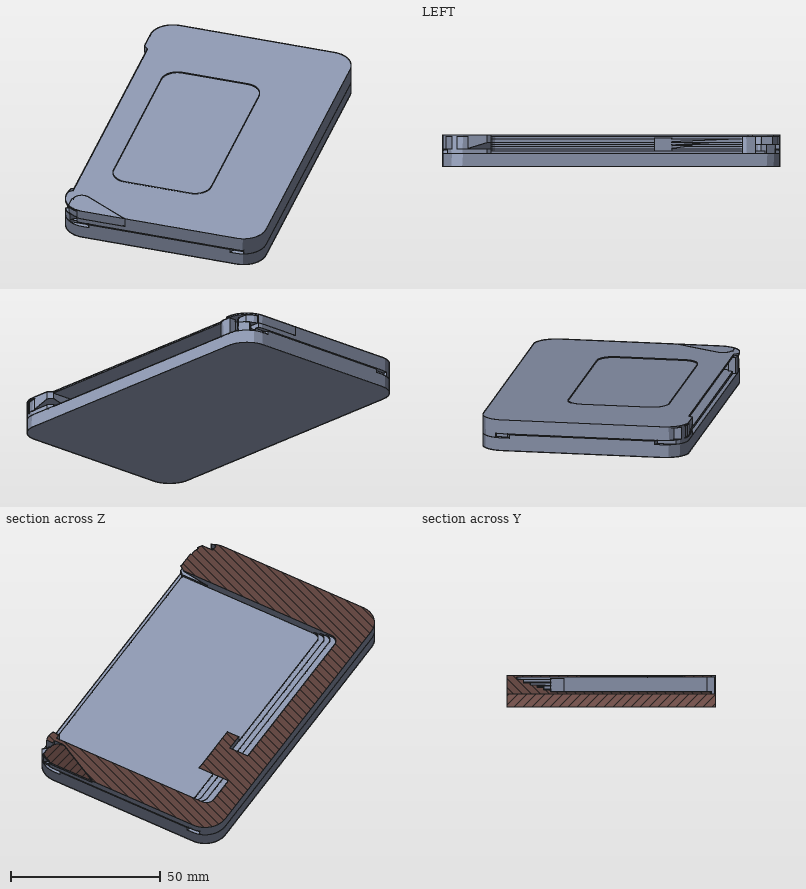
import cadquery as cq
import math

width = 70.0
length = 113.0
height = 10.6
corner_radius = 7.9
left = -width / 2
front = -length / 2

base_top = 4.4
floor_top = 5.2
band_top = 5.9
lever_bottom = 7.5
roof_bottom = 10.1

relief_depth = 1.6
relief_right_end = 29.4
rib_half_length = 24.6
rib_flare = 0.9
rib_top = 5.5

mouth_depth = 1.5
mouth_y_min = -45.8
mouth_y_max = 40.2
cavity_back = 20.3
cavity_corner_radius = 2.7
card_step_levels = [floor_top, 5.9, 6.7, 7.5, 8.1, 9.3]
card_step_run = 2.3

stop_y_min = -20.3
stop_y_max = -14.5
stop_depth = 4.5
stop_top = 9.6
fin_tops_and_ends = [(9.3, -41.8), (8.1, -35.0), (7.0, -27.1)]
fin_root_height = 0.9
fin_depth = 15.8

thumb_cut_end = 48.6
thumb_cut_rise = 2.6
thumb_cut_depth = 11.3

post_y_min = -48.4
post_y_max = -44.0
post_depth = 2.9
post_bulge = 0.5

panel_x_min = -24.0
panel_x_max = 10.2
panel_y_min = -35.8
panel_y_max = 30.6
panel_radius = 5.6
panel_depth = 0.3

slot_y_min = 48.0
slot_y_max = 51.6
slot_depth = 0.5
window_y_min = 53.3
window_y_max = 55.4
window_back = -29.4

pivot_x = -29.0
pivot_y = -50.4
hub_radius = 2.9
pin_diameter = 4.0
lever_left = -32.4
lever_tip_x = -12.1
lever_recess_depth = 0.3
opening_x_max = -28.9
opening_y_max = mouth_y_min - mouth_depth
pillar_width = 3.8
pillar_end_x = -33.2
pillar_end_y = -53.7


def box(x_min, x_max, y_min, y_max, z_min, z_max):
    """Block aligned with the axes, between the given limits."""
    block = cq.Workplane("XY").box(x_max - x_min, y_max - y_min, z_max - z_min, centered=False)
    return block.translate((x_min, y_min, z_min))


def prism(points, z_min, z_max):
    """Upright prism over a closed polygon."""
    return cq.Workplane("XY").workplane(offset=z_min).polyline(points).close().extrude(z_max - z_min)


def case_slab(z_min, z_max, inset=0.0):
    """Slab with the rounded outline of the case, optionally moved inward."""
    half_width = width / 2 - inset
    half_length = length / 2 - inset
    slab = box(-half_width, half_width, -half_length, half_length, z_min, z_max)
    return slab.edges("|Z").fillet(corner_radius - inset)


def make_rib():
    """Rib along the -Y edge of the base with slanted ends."""
    back_half_length = rib_half_length + rib_flare
    back = front + relief_depth
    outline = [
        (-rib_half_length, front),
        (rib_half_length, front),
        (back_half_length, back),
        (-back_half_length, back),
    ]
    return prism(outline, base_top, rib_top)


def make_base():
    rib = make_rib()
    return case_slab(0, base_top).union(rib).union(rib.mirror("XZ"))


def make_mouth():
    """Slanted-end notch that opens the whole -X wall."""
    inner_x = left + mouth_depth
    outline = [
        (left, mouth_y_min - mouth_depth),
        (inner_x, mouth_y_min),
        (inner_x, mouth_y_max),
        (left, mouth_y_max + mouth_depth),
    ]
    return prism(outline, base_top, height)


def make_cavity():
    """Card space: each higher layer reaches one step further toward +X."""
    cavity = None
    for index, level in enumerate(card_step_levels):
        back = cavity_back + index * card_step_run
        layer = box(left, back, mouth_y_min, mouth_y_max, level, roof_bottom)
        layer = layer.edges("|Z and >X").fillet(cavity_corner_radius)
        cavity = layer if cavity is None else cavity.union(layer)
    return cavity


def make_card_stop():
    """Block on the cavity floor with three fins that taper toward -Y."""
    x_min = cavity_back - stop_depth
    stop = box(x_min, cavity_back, stop_y_min, stop_y_max, floor_top, stop_top)
    for fin_top, fin_end in fin_tops_and_ends:
        outline = [(stop_y_min, fin_top - fin_root_height), (stop_y_min, fin_top), (fin_end, fin_top)]
        fin = cq.Workplane("YZ", origin=(x_min, 0, 0)).polyline(outline).close()
        stop = stop.union(fin.extrude(fin_depth))
    return stop


def make_thumb_cut():
    """Four-sided wedge that bevels the lower edge of the wall, growing toward the mouth."""
    tip = (left, thumb_cut_end, band_top)
    corner = (left, mouth_y_max, band_top)
    upper = (left, mouth_y_max, band_top + thumb_cut_rise)
    inner = (left + thumb_cut_depth, mouth_y_max, band_top)
    triangles = [(tip, corner, upper), (tip, corner, inner), (tip, upper, inner), (corner, upper, inner)]
    faces = [
        cq.Face.makeFromWires(cq.Wire.makePolygon([cq.Vector(*point) for point in triangle], close=True))
        for triangle in triangles
    ]
    return cq.Workplane(cq.Solid.makeSolid(cq.Shell.makeShell(faces)))


def make_post():
    """Post with a gently bulging outer face."""
    outer_x = left + post_bulge
    inner_x = left + post_depth
    return (
        cq.Workplane("XY", origin=(0, 0, base_top))
        .moveTo(inner_x, post_y_min)
        .lineTo(outer_x, post_y_min)
        .threePointArc((left, (post_y_min + post_y_max) / 2), (outer_x, post_y_max))
        .lineTo(inner_x, post_y_max)
        .close()
        .extrude(roof_bottom - base_top)
    )


def make_panel():
    panel = box(panel_x_min, panel_x_max, panel_y_min, panel_y_max, height - panel_depth, height)
    return panel.edges("|Z").fillet(panel_radius)


def make_foot_relief():
    """Space along the -Y foot of the lid."""
    return box(left, relief_right_end, front, front + relief_depth, base_top, band_top)


def make_rear_corner_openings():
    """Shallow slot and deeper window in the (-X, +Y) corner wall."""
    skin = case_slab(band_top, roof_bottom).cut(case_slab(band_top, roof_bottom, slot_depth))
    slot = skin.intersect(box(left, window_back, slot_y_min, slot_y_max, band_top, roof_bottom))
    window = box(left, window_back, window_y_min, window_y_max, band_top, roof_bottom)
    return slot.union(window)


def make_pivot_opening():
    """Room around the pivot, open through the corner wall."""
    room = box(left, opening_x_max, front, opening_y_max, floor_top, roof_bottom)
    ledge = box(left, left + mouth_depth, front, mouth_y_min, base_top, roof_bottom)
    return room.union(ledge).union(make_pin())


def make_pillar():
    """Radial pillar from the pivot pin to the rounded corner, under the lever."""
    reach = 2 * corner_radius
    pin_radius = pin_diameter / 2
    arm = box(-reach, -pin_radius, -pillar_width / 2, pillar_width / 2, base_top, lever_bottom)
    direction = math.degrees(math.atan2(pivot_y - pillar_end_y, pivot_x - pillar_end_x))
    arm = arm.rotate((0, 0, 0), (0, 0, 1), direction).translate((pivot_x, pivot_y, 0))
    return arm.intersect(case_slab(base_top, lever_bottom)).cut(make_pin())


def make_pin():
    pin = cq.Workplane("XY", origin=(pivot_x, pivot_y, floor_top)).circle(pin_diameter / 2)
    return pin.extrude(lever_bottom - floor_top)


def make_hub():
    hub = cq.Workplane("XY", origin=(pivot_x, pivot_y, lever_bottom)).circle(hub_radius)
    return hub.extrude(height - lever_bottom)


def make_handle():
    """Tapering handle: its long side runs from a tangent of the hub to the tip."""
    tip_dx = lever_tip_x - pivot_x
    tip_dy = front - pivot_y
    tangent_angle = math.atan2(tip_dy, tip_dx) + math.acos(hub_radius / math.hypot(tip_dx, tip_dy))
    tangent_x = pivot_x + hub_radius * math.cos(tangent_angle)
    tangent_y = pivot_y + hub_radius * math.sin(tangent_angle)
    outline = [
        (tangent_x, tangent_y),
        (lever_tip_x, front),
        (lever_left, front),
        (lever_left, pivot_y),
        (pivot_x, pivot_y),
    ]
    return prism(outline, lever_bottom, height).intersect(case_slab(lever_bottom, height))


def make_lever():
    skin = case_slab(lever_bottom, roof_bottom).cut(
        case_slab(lever_bottom, roof_bottom, lever_recess_depth)
    )
    recess = skin.intersect(box(left, opening_x_max, front, pivot_y, lever_bottom, roof_bottom))
    handle = make_handle().cut(make_hub()).cut(recess)
    return make_hub().union(make_pin()).union(handle, clean=False)


def make_lid():
    relief = make_foot_relief()
    lid = case_slab(base_top, height)
    lid = lid.cut(make_mouth()).cut(make_cavity()).cut(make_thumb_cut()).cut(make_panel())
    lid = lid.cut(relief).cut(relief.mirror("XZ")).cut(make_rear_corner_openings())
    lid = lid.cut(make_pivot_opening())
    lid = lid.union(make_post()).union(make_pillar()).union(make_card_stop())
    return lid.cut(make_handle()).cut(make_hub())


base = make_base()
lid = make_lid()
lever = make_lever()

result = cq.Compound.makeCompound([body.solids().val() for body in (base, lid, lever)])